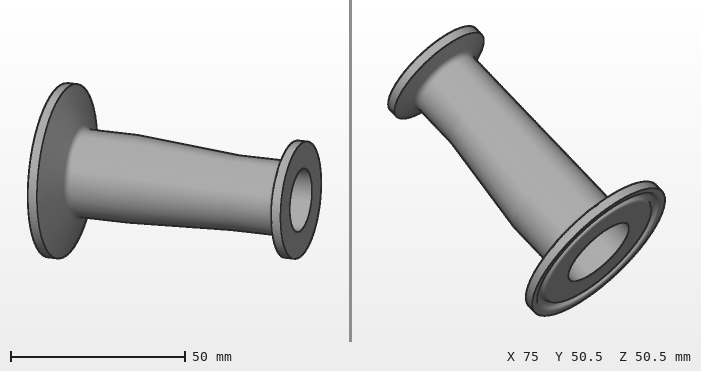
import cadquery as cq
import math

length = 75.0
large_outer_d = 25.4
large_bore_d = 23.0
small_outer_d = 21.7
small_bore_d = 18.4
taper_start = 22.9
taper_end = 54.8

small_axis_y = (small_outer_d - large_outer_d) / 2

large_flange_d = 50.5
small_flange_d = 34.0
rim_width = 2.85
cone_angle = 20.0
neck_fillet = 1.9

groove_mid_r = 21.7
groove_half_width = 2.0
groove_lip_radius = 0.75
groove_floor_radius = 1.2
groove_wall_angle = 20.0


def flange(diameter, tube_d, end_x):
    """Solid flange facing -X, with a conical back and a filleted tube neck ending at end_x."""
    rim_r = diameter / 2
    tube_r = tube_d / 2
    slope = math.tan(math.radians(cone_angle))
    corner_x = rim_width + (rim_r - tube_r) * slope

    turn = math.radians(90 - cone_angle)
    tangent_length = neck_fillet * math.tan(turn / 2)
    center_x = corner_x + tangent_length
    center_r = tube_r + neck_fillet
    cone_point = (center_x - neck_fillet * math.sin(turn), center_r - neck_fillet * math.cos(turn))
    mid_point = (center_x - neck_fillet * math.sin(turn / 2), center_r - neck_fillet * math.cos(turn / 2))

    return (
        cq.Workplane("XY")
        .moveTo(0, 0)
        .lineTo(0, rim_r)
        .lineTo(rim_width, rim_r)
        .lineTo(*cone_point)
        .threePointArc(mid_point, (center_x, tube_r))
        .lineTo(end_x, tube_r)
        .lineTo(end_x, 0)
        .close()
        .revolve(360, (0, 0, 0), (1, 0, 0))
    )


def taper(large_d, small_d):
    """Eccentric cone joining the large and small tube sections."""
    return (
        cq.Workplane("YZ", origin=(taper_start, 0, 0))
        .circle(large_d / 2)
        .workplane(offset=taper_end - taper_start)
        .center(small_axis_y, 0)
        .circle(small_d / 2)
        .loft(ruled=True)
    )


def cylinder(diameter, start_x, end_x, axis_y):
    """Round bar along X."""
    return cq.Workplane("YZ", origin=(start_x, axis_y, 0)).circle(diameter / 2).extrude(end_x - start_x)


def seal_groove():
    """Ring with rounded lips, sloped walls and a round floor."""
    turn = math.radians(90 - groove_wall_angle)
    lip_width = groove_lip_radius * math.sin(turn)
    lip_depth = groove_lip_radius * (1 - math.cos(turn))
    lip_mid_width = groove_lip_radius * math.sin(turn / 2)
    lip_mid_depth = groove_lip_radius * (1 - math.cos(turn / 2))

    floor_half_width = groove_floor_radius * math.sin(turn)
    wall_width = groove_half_width - lip_width - floor_half_width
    wall_end_depth = lip_depth + wall_width * math.tan(turn)
    floor_depth = wall_end_depth + groove_floor_radius * (1 - math.cos(turn))

    inner_r = groove_mid_r - groove_half_width
    outer_r = groove_mid_r + groove_half_width
    return (
        cq.Workplane("XY")
        .moveTo(0, inner_r)
        .threePointArc((lip_mid_depth, inner_r + lip_mid_width), (lip_depth, inner_r + lip_width))
        .lineTo(wall_end_depth, groove_mid_r - floor_half_width)
        .threePointArc((floor_depth, groove_mid_r), (wall_end_depth, groove_mid_r + floor_half_width))
        .lineTo(lip_depth, outer_r - lip_width)
        .threePointArc((lip_mid_depth, outer_r - lip_mid_width), (0, outer_r))
        .close()
        .revolve(360, (0, 0, 0), (1, 0, 0))
    )


large_end = flange(large_flange_d, large_outer_d, taper_start)
small_end = (
    flange(small_flange_d, small_outer_d, length - taper_end)
    .mirror("YZ")
    .translate((length, small_axis_y, 0))
)
body = large_end.union(taper(large_outer_d, small_outer_d)).union(small_end)

result = (
    body.cut(cylinder(large_bore_d, 0, taper_start, 0))
    .cut(taper(large_bore_d, small_bore_d))
    .cut(cylinder(small_bore_d, taper_end, length, small_axis_y))
    .cut(seal_groove())
)